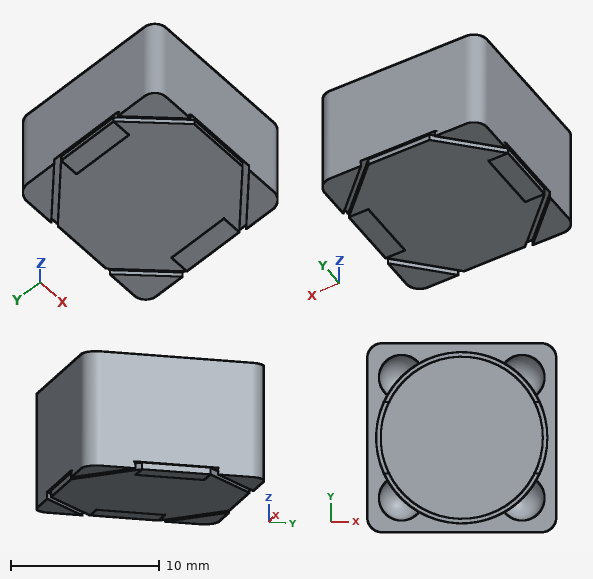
import cadquery as cq

side = 12.8
height = 8.0
corner_radius = 1.05
bore_radius = 5.79

pocket_radius = 1.52
pocket_offset = 4.07

core_radius = 5.48

base_thickness = 0.47
base_half_width = 6.27
base_half_edge = 2.4
recess_half_edge = 2.92

terminal_width = 2 * base_half_edge
terminal_length = 1.54


def octagon_plate(half_width, half_edge):
    """Square plate whose corners are cut at 45 degrees, standing on Z = 0."""
    corner_cut = half_width - half_edge
    plate = cq.Workplane("XY").rect(2 * half_width, 2 * half_width).extrude(base_thickness)
    return plate.edges("|Z").chamfer(corner_cut)


def wire_pocket(x_direction, y_direction):
    """Spherical pocket in one top corner; each direction is -1 or +1."""
    center = (x_direction * pocket_offset, y_direction * pocket_offset, height)
    return cq.Workplane("XY").sphere(pocket_radius).translate(center)


def make_housing():
    block = cq.Workplane("XY").rect(side, side).extrude(height).edges("|Z").fillet(corner_radius)
    bore = cq.Workplane("XY").circle(bore_radius).extrude(height)
    block = block.cut(bore).cut(octagon_plate(side / 2, recess_half_edge))
    for x_direction in (-1, 1):
        for y_direction in (-1, 1):
            block = block.cut(wire_pocket(x_direction, y_direction))
    return block


def make_core():
    core_height = height - base_thickness
    return cq.Workplane("XY").workplane(offset=base_thickness).circle(core_radius).extrude(core_height)


def make_terminal(direction):
    """Flat terminal flush with the base; direction is -1 or +1 along X."""
    center_x = direction * (base_half_width - terminal_length / 2)
    return (
        cq.Workplane("XY")
        .center(center_x, 0)
        .rect(terminal_length, terminal_width)
        .extrude(base_thickness)
    )


def make_base(terminals):
    base = octagon_plate(base_half_width, base_half_edge)
    for terminal in terminals:
        base = base.cut(terminal)
    return base


housing = make_housing()
core = make_core()
terminals = [make_terminal(direction) for direction in (-1, 1)]
base = make_base(terminals)

result = cq.Compound.makeCompound(
    [housing.val(), core.val(), base.val(), *[terminal.val() for terminal in terminals]]
)